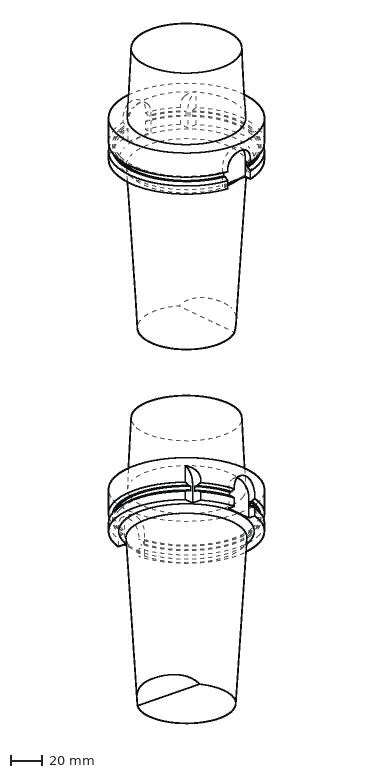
import cadquery as cq

taper_height = 50.0
body_depth = 150.0

locating_diameter = 75.8
locating_height = 2.5
taper_ratio = 1 / 10
taper_base_radius = locating_diameter / 2
taper_top_radius = taper_base_radius - (taper_height - locating_height) * taper_ratio / 2

flange_radius = 50.0
flange_height = 29.5
groove_radius = 46.2
groove_top = -18.5
groove_bottom = -21.5
groove_lip_radius = 47.5
upper_lip_height = 1.2
lower_lip_height = 2.0
transition_radius = 43.5
transition_bottom = -34.0

body_top_radius = 38.8
body_end_radius = 31.5

keyway_width = 20.0
keyway_top = -5.2
keyway_floor = 44.0
side_notch_center_y = 41.5
side_notch_floor = 32.0

scallop_radius = 21.5
scallop_center_y = 33.5
scallop_top = -body_depth + 7.0


def revolved_body():
    profile = [
        (0, taper_height),
        (taper_top_radius, taper_height),
        (taper_base_radius, locating_height),
        (taper_base_radius, 0),
        (flange_radius, 0),
        (flange_radius, groove_top + upper_lip_height),
        (groove_lip_radius, groove_top),
        (groove_radius, groove_top),
        (groove_radius, groove_bottom),
        (groove_lip_radius, groove_bottom),
        (flange_radius, groove_bottom - lower_lip_height),
        (flange_radius, -flange_height),
        (transition_radius, -flange_height),
        (body_top_radius, transition_bottom),
        (body_end_radius, -body_depth),
        (0, -body_depth),
    ]
    return cq.Workplane("XZ").polyline(profile).close().revolve(360, (0, 0), (0, 1))


def keyway_cutter(center_y, floor):
    """Keyway on the -X side, open at the flange bottom, cut inward to X = -floor."""
    radius = keyway_width / 2
    arc_center_z = keyway_top - radius
    return (
        cq.Workplane("YZ", origin=(-flange_radius, 0, 0))
        .moveTo(center_y - radius, -flange_height)
        .lineTo(center_y - radius, arc_center_z)
        .threePointArc((center_y, keyway_top), (center_y + radius, arc_center_z))
        .lineTo(center_y + radius, -flange_height)
        .close()
        .extrude(flange_radius - floor)
    )


def scallop_cutter():
    """Horizontal cylinder along X that scallops the lower end."""
    center_z = scallop_top - scallop_radius
    return (
        cq.Workplane("YZ")
        .center(scallop_center_y, center_z)
        .circle(scallop_radius)
        .extrude(body_top_radius, both=True)
    )


result = revolved_body()

drive_keyway = keyway_cutter(0, keyway_floor)
for angle in (0, 180):
    result = result.cut(drive_keyway.rotate((0, 0, 0), (0, 0, 1), angle))

result = result.cut(keyway_cutter(side_notch_center_y, side_notch_floor))
result = result.cut(scallop_cutter())